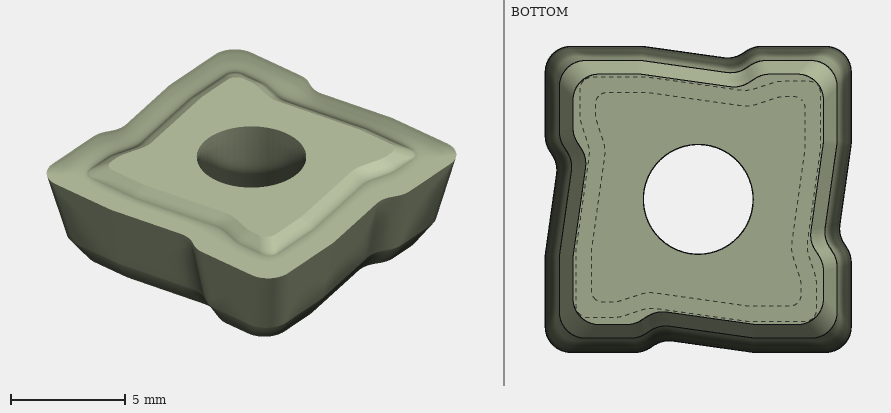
import cadquery as cq
import math

width = 13.4
total_height = 4.6
rake_face_z = 4.23
hole_diameter = 4.8

lower_relief_height = 1.03
upper_relief_angle = 11.0
lower_relief_angle = 30.0

ramp_angle = 8.0
body_ramp_start = -2.44
body_notch = 1.55
body_shoulder = 2.43
body_corner_radius = 1.14
body_blend_radius = 1.2

seat_ramp_side = 5.35
seat_return_side = 5.17
seat_ramp_start = -2.18
seat_notch = 2.16
seat_shoulder = 3.48
seat_wall_inset = 0.67
seat_corner_radius = 0.51
seat_blend_radius = 1.41

ramp_slope = math.tan(math.radians(ramp_angle))


def pinwheel_points(ramp_side, return_side, ramp_start, notch, shoulder):
    """Sharp outline of four equal sides, each a quarter turn from the last."""
    notch_depth = ramp_slope * (notch - ramp_start)
    side = [
        (-return_side, -ramp_side),
        (ramp_start, -ramp_side),
        (notch, -ramp_side + notch_depth),
        (shoulder, -return_side),
    ]
    points = []
    for _ in range(4):
        points += side
        side = [(-y, x) for x, y in side]
    return points


def unit_vector(start, end):
    return (end - start).normalized()


def rounded_outline(points, radii, inset, z):
    """Wire at height z: the outline moved inwards by inset, each bend an arc of its own radius."""
    vertices = [cq.Vector(x, y, z) for x, y in points]
    up = cq.Vector(0, 0, 1)
    bends = []
    for i, vertex in enumerate(vertices):
        arriving = unit_vector(vertices[i - 1], vertex)
        leaving = unit_vector(vertex, vertices[(i + 1) % len(vertices)])
        inward = up.cross(arriving) + up.cross(leaving)
        moved = vertex + inward * (inset / (1 + arriving.dot(leaving)))
        half_turn = arriving.getAngle(leaving) / 2
        radius = radii[i % len(radii)]
        tangent_length = radius * math.tan(half_turn)
        arc_gap = radius * (1 / math.cos(half_turn) - 1)
        arc_start = moved - arriving * tangent_length
        arc_middle = moved + unit_vector(arriving, leaving) * arc_gap
        arc_end = moved + leaving * tangent_length
        bends.append((arc_start, arc_middle, arc_end))

    edges = []
    for i, bend in enumerate(bends):
        previous_end = bends[i - 1][2]
        edges.append(cq.Edge.makeLine(previous_end, bend[0]))
        edges.append(cq.Edge.makeThreePointArc(*bend))
    return cq.Wire.assembleEdges(edges)


def tapered_layer(points, radii, lower, upper):
    """Solid with straight sloping walls between two (inset, height) levels."""
    outlines = [rounded_outline(points, radii, inset, z) for inset, z in (lower, upper)]
    return cq.Workplane(cq.Solid.makeLoft(outlines, True))


def make_body():
    """Body with both relief flanks, narrowing downwards from the rake face."""
    half_width = width / 2
    points = pinwheel_points(half_width, half_width, body_ramp_start, body_notch, body_shoulder)
    radii = [body_corner_radius] + 3 * [body_blend_radius]
    upper_relief_height = rake_face_z - lower_relief_height
    belt_inset = upper_relief_height * math.tan(math.radians(upper_relief_angle))
    base_inset = belt_inset + lower_relief_height * math.tan(math.radians(lower_relief_angle))
    base = (base_inset, 0)
    belt = (belt_inset, lower_relief_height)
    rake_face = (0, rake_face_z)
    lower_relief = tapered_layer(points, radii, base, belt)
    upper_relief = tapered_layer(points, radii, belt, rake_face)
    return lower_relief.union(upper_relief)


def make_seat():
    """Raised seat, narrowing upwards from the rake face."""
    points = pinwheel_points(
        seat_ramp_side, seat_return_side, seat_ramp_start, seat_notch, seat_shoulder
    )
    radii = [seat_corner_radius] + 3 * [seat_blend_radius]
    seat_foot = (0, rake_face_z)
    seat_top = (seat_wall_inset, total_height)
    return tapered_layer(points, radii, seat_foot, seat_top)


hole = cq.Workplane("XY").circle(hole_diameter / 2).extrude(total_height)

result = make_body().union(make_seat()).cut(hole)